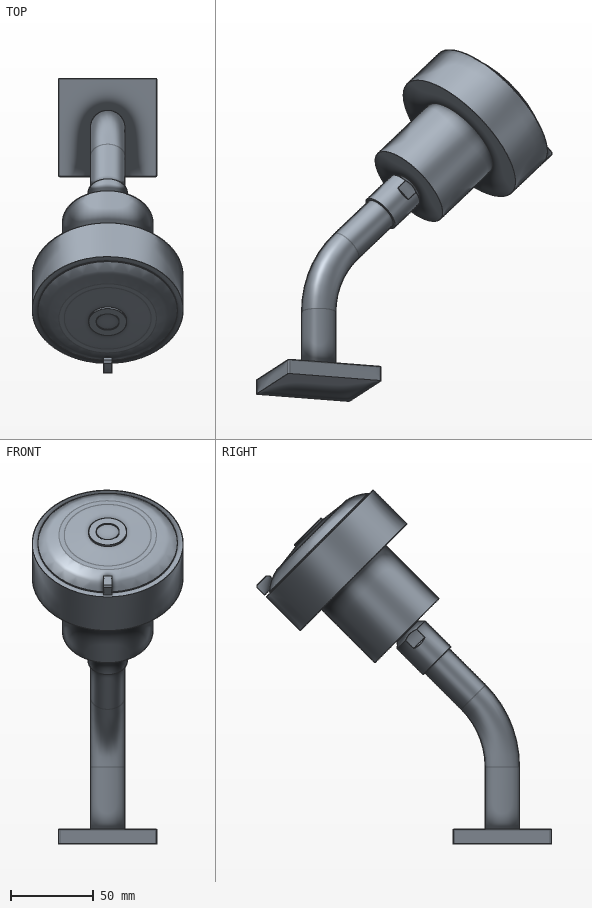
import cadquery as cq
import math

BASE_SIDE = 60.0
BASE_THICKNESS = 9.0
BASE_CORNER_FILLET = 1.0
BASE_TOP_FILLET = 0.6

PIPE_DIAMETER = 21.0
VERTICAL_LEG = 38.0
BEND_RADIUS = 60.0
BEND_ANGLE = 45.0
SLOPING_LEG = 31.4

COLLAR_RADIUS = 12.0
COLLAR_LENGTH = 22.3
NECK_RADIUS = 9.0
NECK_CONE_LENGTH = COLLAR_RADIUS - NECK_RADIUS
NECK_LENGTH = 0.6
FLATS_WIDTH = 22.0
FLATS_LENGTH = 7.0

BARREL_RADIUS = 27.65
BARREL_LENGTH = 46.0
DRUM_RADIUS = 46.0
DRUM_LENGTH = 29.05
DOME_RADIUS = 42.5
DOME_STEP = 0.8
DOME_HEIGHT = 7.2
DOME_BULGE = 1.0
DOME_TOP_RADIUS = 29.7
CROWN_RADIUS = 26.5
CROWN_HEIGHT = 1.8
BUTTON_RADIUS = 11.6
BUTTON_HEIGHT = 1.4
BUTTON_RECESS_RADIUS = 7.0
BUTTON_RECESS_DEPTH = 0.8

LEVER_WIDTH = 5.0
LEVER_INNER_END = 35.5
LEVER_OUTER_END = DRUM_RADIUS
LEVER_BOTTOM = 1.6
LEVER_TOP = 9.15
LEVER_INNER_CHAMFER = 1.5
LEVER_OUTER_CHAMFER = 1.0

COLLAR_START = SLOPING_LEG
NECK_CONE_START = COLLAR_START + COLLAR_LENGTH
NECK_START = NECK_CONE_START + NECK_CONE_LENGTH
BARREL_START = NECK_START + NECK_LENGTH
DRUM_START = BARREL_START + BARREL_LENGTH
DRUM_FACE = DRUM_START + DRUM_LENGTH

BEND_START_Z = BASE_THICKNESS + VERTICAL_LEG
BEND_END_Y = -BEND_RADIUS * (1 - math.cos(math.radians(BEND_ANGLE)))
BEND_END_Z = BEND_START_Z + BEND_RADIUS * math.sin(math.radians(BEND_ANGLE))


def place_on_sloping_axis(body):
    """Move a body built along +Z so that it lies along the sloping leg of the pipe."""
    tilted = body.rotate((0, 0, 0), (1, 0, 0), BEND_ANGLE)
    return tilted.translate((0, BEND_END_Y, BEND_END_Z))


def cylinder(radius, start, length):
    return cq.Workplane("XY").workplane(offset=start).circle(radius).extrude(length)


def make_base():
    plate = cq.Workplane("XY").box(BASE_SIDE, BASE_SIDE, BASE_THICKNESS, centered=(True, True, False))
    return plate.edges("|Z").fillet(BASE_CORNER_FILLET).faces(">Z").edges().fillet(BASE_TOP_FILLET)


def make_pipe():
    pipe_radius = PIPE_DIAMETER / 2
    vertical_leg = cylinder(pipe_radius, BASE_THICKNESS, VERTICAL_LEG)
    bend = (
        cq.Workplane("XY")
        .workplane(offset=BEND_START_Z)
        .circle(pipe_radius)
        .revolve(BEND_ANGLE, (-1, -BEND_RADIUS, 0), (1, -BEND_RADIUS, 0))
    )
    sloping_leg = place_on_sloping_axis(cylinder(pipe_radius, 0, SLOPING_LEG))
    return vertical_leg.union(bend).union(sloping_leg)


def make_connector():
    profile = (
        cq.Workplane("XZ")
        .moveTo(0, COLLAR_START)
        .lineTo(COLLAR_RADIUS, COLLAR_START)
        .lineTo(COLLAR_RADIUS, NECK_CONE_START)
        .lineTo(NECK_RADIUS, NECK_START)
        .lineTo(NECK_RADIUS, BARREL_START)
        .lineTo(0, BARREL_START)
        .close()
    )
    connector = profile.revolve(360, (0, 0, 0), (0, 1, 0))
    flat_distance = FLATS_WIDTH / 2
    flats_start = NECK_CONE_START - FLATS_LENGTH
    ledge_foot = flats_start - (COLLAR_RADIUS - flat_distance)
    for side in (-1, 1):
        cutter = (
            cq.Workplane("XZ")
            .moveTo(side * flat_distance, NECK_START)
            .lineTo(side * flat_distance, flats_start)
            .lineTo(side * COLLAR_RADIUS, ledge_foot)
            .lineTo(side * COLLAR_RADIUS, NECK_START)
            .close()
            .extrude(COLLAR_RADIUS, both=True)
        )
        connector = connector.cut(cutter)
    return place_on_sloping_axis(connector)


def arc_middle(start, end, bulge):
    """Point halfway along an arc that stands out from its chord by the bulge."""
    run = end[0] - start[0]
    rise = end[1] - start[1]
    chord = math.hypot(run, rise)
    middle_x = (start[0] + end[0]) / 2 + bulge * rise / chord
    middle_y = (start[1] + end[1]) / 2 - bulge * run / chord
    return (middle_x, middle_y)


def make_lever():
    return (
        cq.Workplane("YZ")
        .moveTo(-LEVER_INNER_END, DRUM_FACE + LEVER_BOTTOM)
        .lineTo(-LEVER_OUTER_END, DRUM_FACE + LEVER_BOTTOM)
        .lineTo(-LEVER_OUTER_END, DRUM_FACE + LEVER_TOP - LEVER_OUTER_CHAMFER)
        .lineTo(-LEVER_OUTER_END + LEVER_OUTER_CHAMFER, DRUM_FACE + LEVER_TOP)
        .lineTo(-LEVER_INNER_END - LEVER_INNER_CHAMFER, DRUM_FACE + LEVER_TOP)
        .lineTo(-LEVER_INNER_END, DRUM_FACE + LEVER_TOP - LEVER_INNER_CHAMFER)
        .close()
        .extrude(LEVER_WIDTH / 2, both=True)
    )


def make_head():
    crown_base = DRUM_FACE + DOME_HEIGHT
    crown_top = crown_base + CROWN_HEIGHT
    button_top = crown_top + BUTTON_HEIGHT
    dome_start = (DOME_RADIUS, DRUM_FACE + DOME_STEP)
    dome_end = (DOME_TOP_RADIUS, crown_base)
    profile = (
        cq.Workplane("XZ")
        .moveTo(0, BARREL_START)
        .lineTo(BARREL_RADIUS, BARREL_START)
        .lineTo(BARREL_RADIUS, DRUM_START)
        .lineTo(DRUM_RADIUS, DRUM_START)
        .lineTo(DRUM_RADIUS, DRUM_FACE)
        .lineTo(DOME_RADIUS, DRUM_FACE)
        .lineTo(*dome_start)
        .threePointArc(arc_middle(dome_start, dome_end, DOME_BULGE), dome_end)
        .lineTo(CROWN_RADIUS, crown_base)
        .lineTo(BUTTON_RADIUS, crown_top)
        .lineTo(BUTTON_RADIUS, button_top)
        .lineTo(BUTTON_RECESS_RADIUS, button_top)
        .lineTo(BUTTON_RECESS_RADIUS, button_top - BUTTON_RECESS_DEPTH)
        .lineTo(0, button_top - BUTTON_RECESS_DEPTH)
        .close()
    )
    head = profile.revolve(360, (0, 0, 0), (0, 1, 0))
    return place_on_sloping_axis(head.union(make_lever()))


base = make_base()
pipe = make_pipe()
connector = make_connector()
head = make_head()

result = cq.Compound.makeCompound([base.val(), pipe.val(), connector.val(), head.val()])